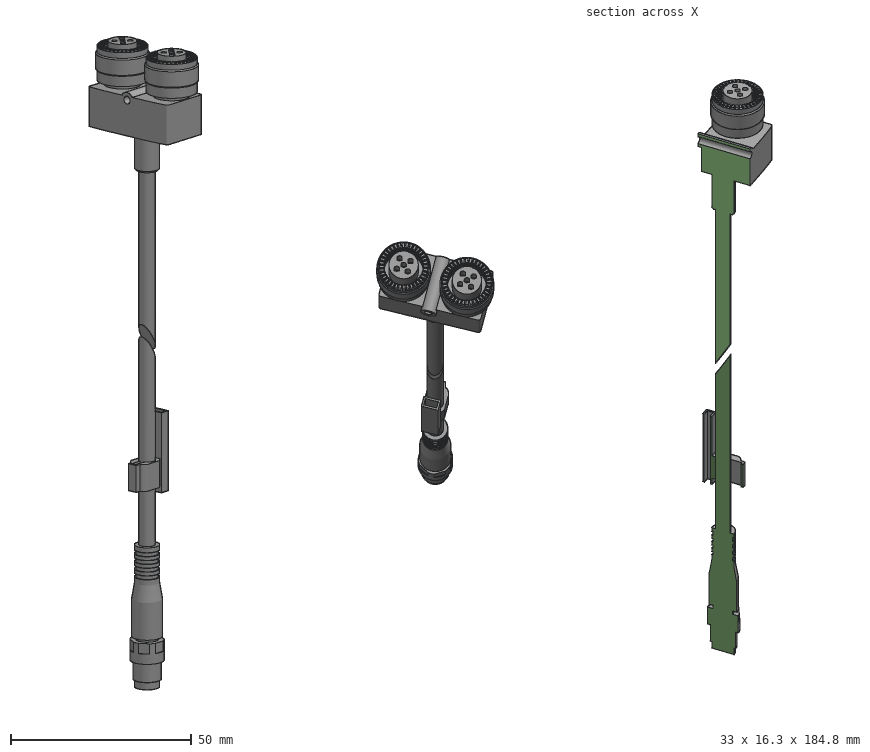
import cadquery as cq
import math

total_height = 184.8
overall_width = 33.0
cable_dia = 4.6

break_z = 99.2
break_gap = 3.5
break_rise = 8.0

block_width = 29.2
block_front_y = -8.5
block_back_y = 6.7
block_bottom_z = 160.8
block_top_z = 172.2
block_edge_round = 0.7
panel_width = 11.8
wing_drop = 0.4
sleeve_dia = 7.0
sleeve_bottom_z = 149.1
sleeve_chamfer = 0.5

ridge_dia = 4.5
ridge_hole_dia = 2.2
ridge_back_y = 7.8
ridge_z = 171.1

nut_dia = 15.0
nut_end_dia = 14.2
nut_bore_dia = 10.9
thread_groove_dia = 12.4
thread_pitch = 1.0
thread_groove_count = 4
nut_bore_depth = 5.5
nut_neck_dia = 10.2
nut_bottom_z = 173.5
nut_top_z = 183.7
nut_band_bottom_z = 176.5
nut_band_top_z = 181.7
nut_spacing = overall_width - nut_dia
band_bevel = 0.4
rim_bevel = 0.4
knurl_count = 36
knurl_depth = 0.4
knurl_width = 0.4
insert_dia = 8.1
contact_dia = 1.5
contact_circle_dia = 4.5
contact_depth = 3.7
first_contact_angle = 45
outer_contact_count = 4

tip_dia = 7.0
tip_top_z = 2.2
shell_dia = 8.0
shell_top_z = 7.8
ring_dia = 9.6
ring_flats = 9.0
ring_flats_z = 10.7
ring_top_z = 13.7
plug_neck_dia = 6.3
body_dia = 8.7
body_bottom_z = 14.6
body_taper_z = 25.3
boot_dia = 7.0
boot_bottom_z = 30.1
boot_top_z = 41.0
groove_dia = 6.3
groove_width = 1.1
groove_pitch = 2.2
groove_count = 4
first_groove_z = 31.8

plate_width = 4.8
plate_front_y = 3.3
plate_back_y = 6.3
plate_bottom_z = 55.6
plate_top_z = 78.7
plate_wall = 0.5
clip_width = 6.1
clip_bottom_z = 57.7
clip_top_z = 65.5
clip_root_half_width = 1.8
clip_side_back_y = 1.7
clip_side_front_y = -2.2
clip_shoulder_y = -4.8
nose_root_half_width = 1.7
nose_half_width = 1.39
nose_front_y = -6.3
nose_wall = 0.65


def cylinder(dia, bottom_z, top_z, x=0.0):
    """Upright cylinder between two heights."""
    base = cq.Workplane("XY", origin=(x, 0, bottom_z))
    return base.circle(dia / 2).extrude(top_z - bottom_z)


def break_half(base_z, far_z):
    """Space on one side of a slanted cut that crosses the cable axis at base_z."""
    half_rise = break_rise / 2
    corners = [
        (cable_dia / 2, base_z - half_rise),
        (-cable_dia / 2, base_z + half_rise),
        (-cable_dia / 2, far_z),
        (cable_dia / 2, far_z),
    ]
    return cq.Workplane("YZ").polyline(corners).close().extrude(cable_dia, both=True)


def wing_curve_y(x):
    """Front of a wing: an arc that leaves the flat panel smoothly and drops back by wing_drop."""
    wing_width = (block_width - panel_width) / 2
    radius = (wing_width**2 + wing_drop**2) / (2 * wing_drop)
    run = x - panel_width / 2
    return block_front_y + radius - math.sqrt(radius**2 - run**2)


def splitter_block():
    """Block with a flat front panel between curved wings, and a sleeve for the cable below it."""
    panel_x = panel_width / 2
    side_x = block_width / 2
    middle_x = (panel_x + side_x) / 2
    middle_y = wing_curve_y(middle_x)
    side_y = wing_curve_y(side_x)
    block = (
        cq.Workplane("XY", origin=(0, 0, block_bottom_z))
        .moveTo(-panel_x, block_front_y)
        .lineTo(panel_x, block_front_y)
        .threePointArc((middle_x, middle_y), (side_x, side_y))
        .lineTo(side_x, block_back_y)
        .lineTo(-side_x, block_back_y)
        .lineTo(-side_x, side_y)
        .threePointArc((-middle_x, middle_y), (-panel_x, block_front_y))
        .close()
        .extrude(block_top_z - block_bottom_z)
    )
    block = block.edges("|Z and (<X or >X)").fillet(block_edge_round)
    sleeve = cylinder(sleeve_dia, sleeve_bottom_z, block_bottom_z)
    sleeve = sleeve.faces("<Z").chamfer(sleeve_chamfer)
    return block.union(sleeve)


def ridge_bar(dia):
    """Round bar along Y, as long as the mounting ridge."""
    base = cq.Workplane("XZ", origin=(0, ridge_back_y, ridge_z))
    return base.circle(dia / 2).extrude(ridge_back_y - block_front_y)


def knurl_grooves(x):
    """Radial grooves across the top face of a socket nut."""
    grooves = cq.Workplane("XY", origin=(x, 0, nut_top_z)).polarArray(nut_end_dia / 2, 0, 360, knurl_count)
    return grooves.rect(nut_end_dia - insert_dia, knurl_width).extrude(-knurl_depth)


def thread_grooves(x):
    """Rings that stand for the thread in the bore of a socket nut."""
    rings = cq.Workplane("XY")
    groove_height = thread_pitch / 2
    for index in range(thread_groove_count):
        top_z = nut_top_z - groove_height - index * thread_pitch
        rings = rings.union(cylinder(thread_groove_dia, top_z - groove_height, top_z, x))
    return rings


def contact_holes(x):
    """One contact hole in the middle of the insert and a circle of holes around it."""
    top = cq.Workplane("XY", origin=(x, 0, total_height))
    middle = top.circle(contact_dia / 2).extrude(-contact_depth)
    outer = top.polarArray(contact_circle_dia / 2, first_contact_angle, 360, outer_contact_count)
    return outer.circle(contact_dia / 2).extrude(-contact_depth).union(middle)


def socket(x):
    """Knurled nut with an insert standing in its threaded bore."""
    nut = cylinder(nut_end_dia, nut_bottom_z, nut_top_z, x).faces(">Z").chamfer(rim_bevel)
    band = cylinder(nut_dia, nut_band_bottom_z, nut_band_top_z, x)
    nut = nut.union(band.faces("<Z or >Z").chamfer(band_bevel))
    nut = nut.cut(knurl_grooves(x))
    bore_floor_z = nut_top_z - nut_bore_depth
    nut = nut.cut(cylinder(nut_bore_dia, bore_floor_z, nut_top_z, x))
    nut = nut.cut(thread_grooves(x))
    nut = nut.union(cylinder(insert_dia, bore_floor_z, total_height, x))
    nut = nut.cut(contact_holes(x))
    return nut.union(cylinder(nut_neck_dia, block_top_z, nut_bottom_z, x))


def splitter():
    """Upper body: block, two sockets and the upper stretch of cable."""
    body = splitter_block().union(ridge_bar(ridge_dia)).cut(ridge_bar(ridge_hole_dia))
    for x in (-nut_spacing / 2, nut_spacing / 2):
        body = body.union(socket(x))
    stretch = cylinder(cable_dia, break_z - break_rise, sleeve_bottom_z)
    stretch = stretch.intersect(break_half(break_z + break_gap / 2, sleeve_bottom_z))
    return body.union(stretch)


def plug_ring():
    """Plug ring whose upper part has six flats."""
    ring = cylinder(ring_dia, shell_top_z, ring_top_z)
    hexagon = cq.Workplane("XY", origin=(0, 0, ring_flats_z))
    hexagon = hexagon.polygon(6, ring_flats, circumscribed=True).extrude(ring_top_z - ring_flats_z)
    return ring.intersect(hexagon.union(cylinder(ring_dia, shell_top_z, ring_flats_z)))


def plug_body():
    """Turned grip that tapers up to a grooved bend relief."""
    profile = [
        (0, body_bottom_z),
        (body_dia / 2, body_bottom_z),
        (body_dia / 2, body_taper_z),
        (boot_dia / 2, boot_bottom_z),
        (boot_dia / 2, boot_top_z),
        (0, boot_top_z),
    ]
    grip = cq.Workplane("XZ").polyline(profile).close().revolve(360, (0, 0, 0), (0, 1, 0))
    for index in range(groove_count):
        bottom_z = first_groove_z + index * groove_pitch
        top_z = bottom_z + groove_width
        groove = cylinder(boot_dia, bottom_z, top_z).cut(cylinder(groove_dia, bottom_z, top_z))
        grip = grip.cut(groove)
    return grip


def plug():
    """Lower body: plug and the lower stretch of cable."""
    body = cylinder(tip_dia, 0, tip_top_z)
    body = body.union(cylinder(shell_dia, tip_top_z, shell_top_z))
    body = body.union(plug_ring())
    body = body.union(cylinder(plug_neck_dia, ring_top_z, body_bottom_z))
    body = body.union(plug_body())
    stretch = cylinder(cable_dia, boot_top_z, break_z + break_rise)
    stretch = stretch.intersect(break_half(break_z - break_gap / 2, boot_top_z))
    return body.union(stretch)


def label_sleeve():
    """Flat rectangular sleeve that takes a label, open at both ends."""
    plate_depth = plate_back_y - plate_front_y
    plate_y = (plate_back_y + plate_front_y) / 2
    plate_base = cq.Workplane("XY", origin=(0, plate_y, plate_bottom_z))
    plate_height = plate_top_z - plate_bottom_z
    plate = plate_base.rect(plate_width, plate_depth).extrude(plate_height)
    pocket = plate_base.rect(plate_width - 2 * plate_wall, plate_depth - 2 * plate_wall)
    return plate.cut(pocket.extrude(plate_height))


def clip_collar():
    """Collar with a hollow nose, bored to fit the cable."""
    clip_height = clip_top_z - clip_bottom_z
    side = clip_width / 2
    bend = 1 - math.sqrt(0.5)
    bend_x = side - bend * (side - nose_root_half_width)
    bend_y = clip_shoulder_y + bend * (clip_side_front_y - clip_shoulder_y)
    collar = (
        cq.Workplane("XY", origin=(0, 0, clip_bottom_z))
        .moveTo(-clip_root_half_width, plate_front_y)
        .lineTo(-side, clip_side_back_y)
        .lineTo(-side, clip_side_front_y)
        .threePointArc((-bend_x, bend_y), (-nose_root_half_width, clip_shoulder_y))
        .lineTo(-nose_half_width, nose_front_y)
        .lineTo(nose_half_width, nose_front_y)
        .lineTo(nose_root_half_width, clip_shoulder_y)
        .threePointArc((bend_x, bend_y), (side, clip_side_front_y))
        .lineTo(side, clip_side_back_y)
        .lineTo(clip_root_half_width, plate_front_y)
        .close()
        .extrude(clip_height)
    )
    slot_half_width = nose_half_width - nose_wall
    slot_front_y = nose_front_y + nose_wall
    slot = cq.Workplane("XY", origin=(0, slot_front_y / 2, clip_bottom_z))
    slot = slot.rect(2 * slot_half_width, -slot_front_y).extrude(clip_height)
    return collar.cut(slot).cut(cylinder(cable_dia, clip_bottom_z, clip_top_z))


splitter_with_sockets = splitter()
plug_with_cable = plug()
label_clip = label_sleeve().union(clip_collar())
result = cq.Compound.makeCompound([splitter_with_sockets.val(), plug_with_cable.val(), label_clip.val()])